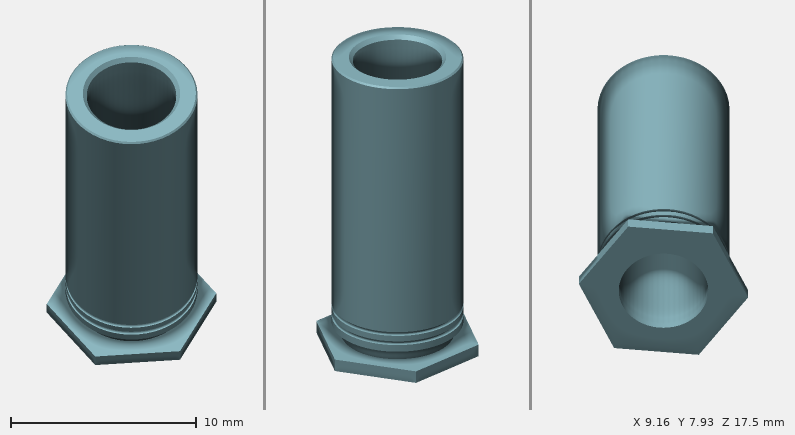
import cadquery as cq
import math

total_height = 17.46
hex_across_flats = 7.93
hex_across_corners = hex_across_flats * 2 / math.sqrt(3)
flange_thickness = 0.7

body_diameter = 7.1
neck_diameter = 6.1
groove_diameter = 6.6
bore_diameter = 4.82

neck_top = 1.41
groove_width = 0.23
groove_bottoms = (1.82, 2.37)

rim_chamfer = 0.09
bore_mouth_diameter = 5.24
bore_chamfer = (bore_mouth_diameter - bore_diameter) / 2


def cylinder(diameter, bottom, top):
    """Solid cylinder on the Z axis between two heights."""
    return cq.Workplane("XY").workplane(offset=bottom).circle(diameter / 2).extrude(top - bottom)


def ring_groove(bottom):
    """Ring of material to cut away for one groove around the body."""
    top = bottom + groove_width
    return cylinder(body_diameter, bottom, top).cut(cylinder(groove_diameter, bottom, top))


flange = cq.Workplane("XY").polygon(6, hex_across_corners).extrude(flange_thickness)

neck = cylinder(neck_diameter, flange_thickness, neck_top)
body = cylinder(body_diameter, neck_top, total_height).faces(">Z").chamfer(rim_chamfer)
for groove_bottom in groove_bottoms:
    body = body.cut(ring_groove(groove_bottom))

bore = cylinder(bore_diameter, 0, total_height)
sleeve = flange.union(neck).union(body).cut(bore)
mouth_edge = cq.selectors.RadiusNthSelector(0)
result = sleeve.faces(">Z").edges(mouth_edge).chamfer(bore_chamfer)